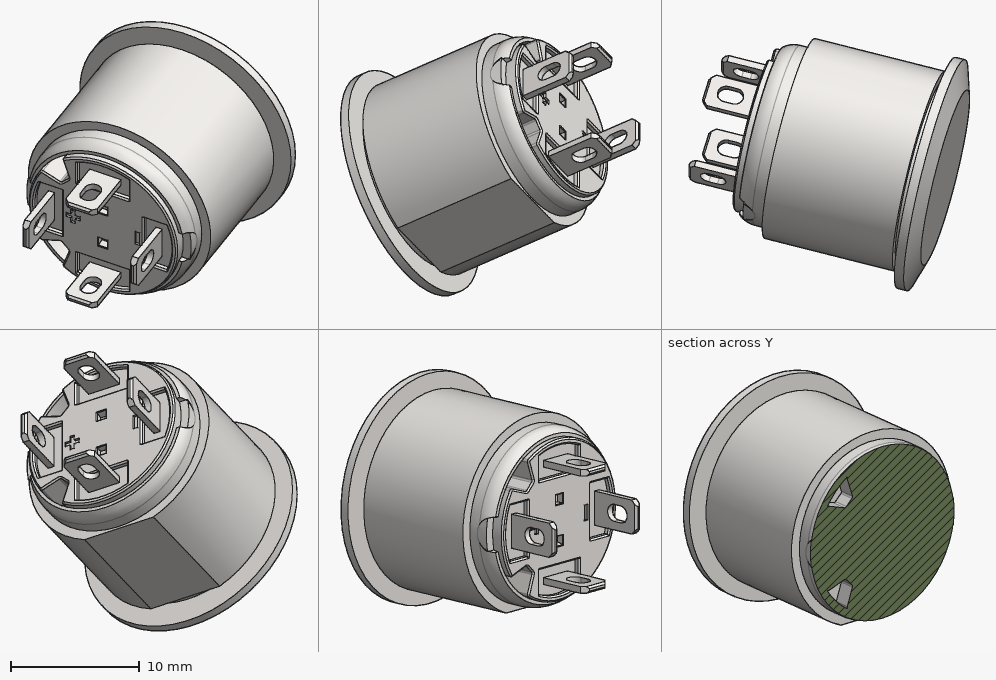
import cadquery as cq
import math


overall_length = 19.3
flange_diameter = 18.5
face_diameter = 14.01
bevel_depth = 0.75
flange_end = 1.5
neck_diameter = 14.42
barrel_diameter = 16.0
barrel_start = 2.0
barrel_end = 12.5
barrel_flat_height = 7.4

collar_straight_end = 13.51
collar_end = 14.7
collar_end_radius = 6.8
tab_radius = 1.4
tab_end = 14.26

plate_radius = 6.5
plate_end = 15.3
rim_chamfer = 0.14
flare_angle = 45

cutout_angles = (135, 225)
cutout_inner_distance = 4.7
cutout_inner_half_width = 0.5
cutout_outer_half_width = 1.39
cutout_corner_radius = 0.2

terminal_angles = (0, 90, 180, 270)
pocket_depth = 0.45
pocket_half_width = 2.25
pocket_inner_distance = 3.57
pocket_outer_radius = 6.0

terminal_distance = 4.7
terminal_width = 2.75
terminal_thickness = 0.55
terminal_corner = 0.48
tip_bevel = 0.17
eye_width = 1.35
eye_length = 2.05
eye_to_tip = 2.0

socket_angles = (90, 270)
socket_size = 0.8
socket_rim_chamfer = 0.05
socket_distance = 1.68
socket_depth = 0.6
socket_slope = 0.15
mark_depth = 0.2
mark_length = 1.25
mark_width = 0.39
plus_x = -2.6
minus_x = 3.03


def plane_at(depth):
    """Work plane across the axis; local axes are X and Z, extrusion goes towards -Y."""
    return cq.Workplane("XZ", origin=(0, -depth, 0))


def turn(shape, angle):
    """Turn a shape about the part axis, from +X towards +Z."""
    return shape.rotate((0, 0, 0), (0, -1, 0), angle)


def make_housing():
    """Revolved flange, neck, barrel and collar; the collar ends in a tangent arc."""
    neck_radius = neck_diameter / 2
    drop = neck_radius - collar_end_radius
    run = collar_end - collar_straight_end
    arc_radius = (drop**2 + run**2) / (2 * drop)
    half_sweep = math.asin(run / arc_radius) / 2
    arc_middle = (
        neck_radius - arc_radius * (1 - math.cos(half_sweep)),
        -collar_straight_end - arc_radius * math.sin(half_sweep),
    )
    housing = (
        cq.Workplane("XY")
        .lineTo(face_diameter / 2, 0)
        .lineTo(flange_diameter / 2, -bevel_depth)
        .lineTo(flange_diameter / 2, -flange_end)
        .lineTo(neck_radius, -flange_end)
        .lineTo(neck_radius, -barrel_start)
        .lineTo(barrel_diameter / 2, -barrel_start)
        .lineTo(barrel_diameter / 2, -barrel_end)
        .lineTo(neck_radius, -barrel_end)
        .lineTo(neck_radius, -collar_straight_end)
        .threePointArc(arc_middle, (collar_end_radius, -collar_end))
        .lineTo(0, -collar_end)
        .close()
        .revolve(360, (0, 0, 0), (0, 1, 0))
    )
    flat_height = barrel_diameter / 2 - barrel_flat_height
    below_flat = (
        plane_at(barrel_start)
        .center(0, -barrel_flat_height - flat_height / 2)
        .rect(barrel_diameter, flat_height)
        .extrude(barrel_end - barrel_start)
    )
    return housing.cut(below_flat)


def add_side_tabs(housing):
    """Replace the collar on both X sides by short round-ended tabs."""
    tab_zone = (
        cq.Workplane("YZ", origin=(0, -collar_end, 0))
        .circle(tab_radius)
        .extrude(neck_diameter, both=True)
    )
    tabs = (
        plane_at(barrel_end)
        .circle(neck_diameter / 2)
        .extrude(tab_end - barrel_end)
        .intersect(tab_zone)
    )
    return housing.cut(tab_zone).union(tabs)


def pocket_outline(depth):
    """Pocket outline on the +X side: a rectangle whose outer side is an arc about the axis."""
    corner_x = math.sqrt(pocket_outer_radius**2 - pocket_half_width**2)
    return (
        plane_at(depth)
        .moveTo(pocket_inner_distance, -pocket_half_width)
        .lineTo(corner_x, -pocket_half_width)
        .threePointArc((pocket_outer_radius, 0), (corner_x, pocket_half_width))
        .lineTo(pocket_inner_distance, pocket_half_width)
        .close()
    )


def make_pocket():
    """Pocket volume with its rim flared by the chamfer."""
    flare = pocket_outline(plate_end - rim_chamfer).extrude(rim_chamfer, taper=-flare_angle)
    return pocket_outline(plate_end - pocket_depth).extrude(pocket_depth).union(flare)


def make_plate():
    """Terminal plate with two corner cut-outs, four pockets and chamfered edges."""
    plate = plane_at(barrel_end).circle(plate_radius).extrude(plate_end - barrel_end)
    cutout = (
        plane_at(barrel_end)
        .moveTo(cutout_inner_distance, -cutout_inner_half_width)
        .lineTo(plate_radius, -cutout_outer_half_width)
        .lineTo(plate_radius + cutout_outer_half_width, 0)
        .lineTo(plate_radius, cutout_outer_half_width)
        .lineTo(cutout_inner_distance, cutout_inner_half_width)
        .close()
        .extrude(plate_end - barrel_end)
    )
    for angle in cutout_angles:
        plate = plate.cut(turn(cutout, angle))
    corner_edges = cq.selectors.BoxSelector(
        (-plate_radius, -plate_end, -plate_radius), (0, -barrel_end, plate_radius)
    )
    plate = plate.edges("|Y").edges(corner_edges).fillet(cutout_corner_radius)
    plate = plate.faces("<Y").edges().chamfer(rim_chamfer)

    for angle in terminal_angles:
        plate = plate.cut(turn(make_pocket(), angle))
    return plate


def make_terminal():
    """Flat solder terminal on the +X side with clipped corners, a bevelled tip and an eye."""
    length = overall_length - collar_end
    blade = (
        plane_at(collar_end)
        .center(terminal_distance, 0)
        .rect(terminal_thickness, terminal_width)
        .extrude(length)
        .edges("|X and <Y")
        .chamfer(terminal_corner)
    )
    blade = blade.faces("<Y").edges("|Z").chamfer(tip_bevel)
    eye = (
        cq.Workplane("YZ", origin=(terminal_distance, eye_to_tip - overall_length, 0))
        .slot2D(eye_length, eye_width)
        .extrude(terminal_thickness, both=True)
    )
    return blade.cut(eye)


def make_socket():
    """Square socket on the +X side with a chamfered rim and an outer wall that slopes inwards."""
    half = socket_size / 2
    rim = (
        plane_at(plate_end - socket_rim_chamfer)
        .center(socket_distance, 0)
        .rect(socket_size, socket_size)
        .extrude(socket_rim_chamfer, taper=-flare_angle)
    )
    well = (
        cq.Workplane("XY", origin=(0, 0, -half))
        .moveTo(socket_distance - half, -plate_end)
        .lineTo(socket_distance + half, -plate_end)
        .lineTo(socket_distance + half - socket_slope, socket_depth - plate_end)
        .lineTo(socket_distance - half, socket_depth - plate_end)
        .close()
        .extrude(socket_size)
    )
    return well.union(rim)


def make_mark(x, width, height):
    """Rectangular bar for the polarity recesses."""
    return plane_at(plate_end - mark_depth).center(x, 0).rect(width, height).extrude(mark_depth)


housing = add_side_tabs(make_housing())
plate_seat = plane_at(barrel_end).circle(plate_radius).extrude(plate_end - barrel_end)
result = housing.cut(plate_seat).union(make_plate())

for angle in terminal_angles:
    result = result.union(turn(make_terminal(), angle))

for angle in socket_angles:
    result = result.cut(turn(make_socket(), angle))

result = result.cut(make_mark(plus_x, mark_length, mark_width))
result = result.cut(make_mark(plus_x, mark_width, mark_length))
result = result.cut(make_mark(minus_x, mark_width, mark_length))